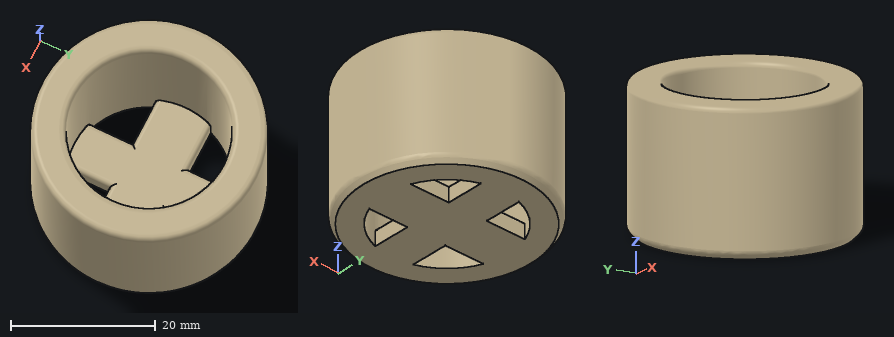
import cadquery as cq

outer_diameter = 33.0
height = 22.0
bore_diameter = 23.0
edge_size = 1.0

cross_thickness = 3.0
x_arm_width = 8.58
y_arm_width = 7.1
arm_edge_radius = 0.8


def make_ring():
    """Tube with a rounded rim and a softened chamfer at the bottom."""
    body = cq.Workplane("XY").circle(outer_diameter / 2).extrude(height)
    body = body.faces("<Z").edges().chamfer(edge_size)

    corner_margin = 0.03
    corner_zone = cq.selectors.BoxSelector(
        (-outer_diameter, -outer_diameter, edge_size - corner_margin),
        (outer_diameter, outer_diameter, edge_size + corner_margin),
    )
    body = body.edges("%CIRCLE").edges(corner_zone).fillet(edge_size)

    bore = cq.Workplane("XY").circle(bore_diameter / 2).extrude(height)
    return body.cut(bore).faces(">Z").edges().fillet(edge_size)


def make_cross():
    """Cross with rounded upper edges, trimmed to end inside the ring wall."""
    trim_diameter = (outer_diameter + bore_diameter) / 2
    x_arm = cq.Workplane("XY").box(
        outer_diameter, x_arm_width, cross_thickness, centered=(True, True, False)
    )
    y_arm = cq.Workplane("XY").box(
        y_arm_width, outer_diameter, cross_thickness, centered=(True, True, False)
    )
    cross = x_arm.union(y_arm).clean()
    cross = cross.faces(">Z").edges().fillet(arm_edge_radius)
    trim = cq.Workplane("XY").circle(trim_diameter / 2).extrude(cross_thickness)
    return cross.intersect(trim)


result = make_ring().union(make_cross())